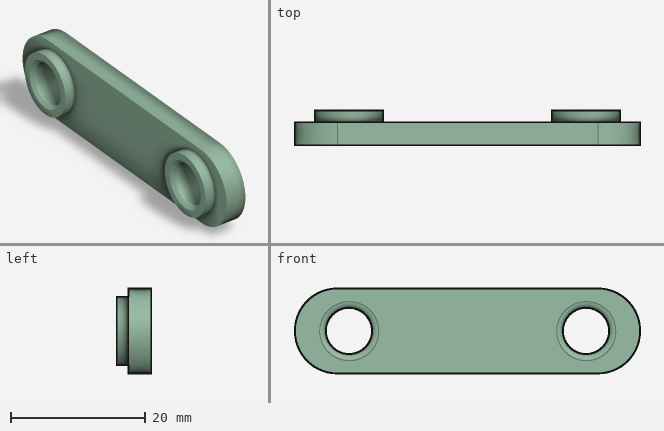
import cadquery as cq

length = 51.4
height = 12.7
plate_thickness = 3.45

hole_spacing = 35.25
hole_diameter = 6.85
front_edge_radius = 1.0
back_chamfer = 0.5
boss_diameter = 10.25
total_depth = 5.2


def cylinder_along_y(diameter, depth, x):
    """Cylinder that starts on the front face (Y = 0) and runs toward +Y."""
    axis_start = cq.Vector(x, 0, 0)
    return cq.Workplane(cq.Solid.makeCylinder(diameter / 2, depth, axis_start, cq.Vector(0, 1, 0)))


def hole_cutter(x):
    """Cutter for a through hole with a rounded front edge and a chamfered back edge."""
    radius = hole_diameter / 2
    arc_offset = front_edge_radius * (1 - 0.5 ** 0.5)
    profile = (
        cq.Workplane("XY")
        .lineTo(radius + front_edge_radius, 0)
        .threePointArc((radius + arc_offset, arc_offset), (radius, front_edge_radius))
        .lineTo(radius, total_depth - back_chamfer)
        .lineTo(radius + back_chamfer, total_depth)
        .lineTo(0, total_depth)
        .close()
    )
    return profile.revolve(360, (0, 0, 0), (0, 1, 0)).translate((x, 0, 0))


result = cq.Workplane("XZ").slot2D(length, height).extrude(-plate_thickness)

hole_positions = (-hole_spacing / 2, hole_spacing / 2)
for x in hole_positions:
    result = result.union(cylinder_along_y(boss_diameter, total_depth, x))
for x in hole_positions:
    result = result.cut(hole_cutter(x))